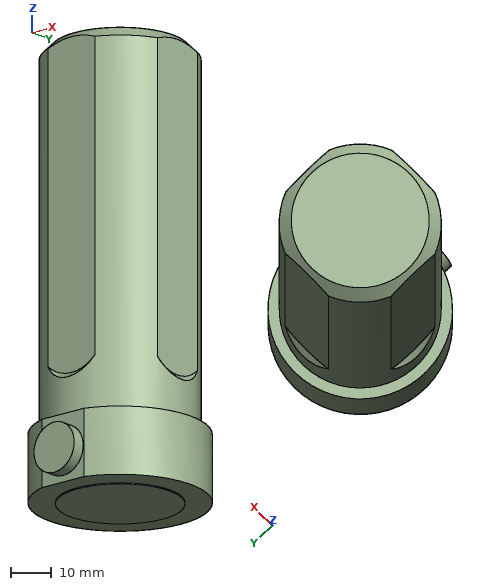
import cadquery as cq

total_height = 118.0
body_diameter = 39.98
top_chamfer = 3.0
body_radius = body_diameter / 2

flat_offset = 18.5
flat_bottom = 29.5
flat_end_radius = 11.0
flat_count = 4
cutter_depth = 4.0

collar_diameter = 45.5
collar_top = 18.0
foot_diameter = 32.0
foot_height = 0.3
collar_radius = collar_diameter / 2

button_diameter = 13.0
button_face_offset = 25.12
button_height = 8.5
button_flat_offset = 21.7


def make_body():
    body = cq.Workplane("XY").workplane(offset=foot_height).circle(body_radius)
    body = body.extrude(total_height - foot_height)
    return body.faces(">Z").chamfer(top_chamfer)


def make_flat_cutter():
    """Cutter for the flat on the +X side: 45 degree cone at the end, box above it."""
    cone_height = flat_bottom + flat_end_radius
    cone = cq.Workplane(
        cq.Solid.makeCone(
            flat_end_radius,
            flat_end_radius + cutter_depth,
            cutter_depth,
            pnt=cq.Vector(flat_offset, 0, cone_height),
            dir=cq.Vector(1, 0, 0),
        )
    )
    box = cq.Workplane("XY").box(
        cutter_depth,
        2 * flat_end_radius,
        total_height - cone_height,
        centered=(False, True, False),
    )
    return cone.union(box.translate((flat_offset, 0, cone_height)))


def cut_flats(body):
    cutter = make_flat_cutter()
    for index in range(flat_count):
        angle = index * 360 / flat_count
        body = body.cut(cutter.rotate((0, 0, 0), (0, 0, 1), angle))
    return body


def make_collar():
    collar = cq.Workplane("XY").workplane(offset=foot_height).circle(collar_radius)
    collar = collar.extrude(collar_top - foot_height)
    flat_cut = cq.Workplane("XY").box(
        collar_diameter,
        collar_radius,
        collar_top,
        centered=(True, False, False),
    )
    return collar.cut(flat_cut.translate((0, -button_flat_offset - collar_radius, 0)))


def make_foot():
    return cq.Workplane("XY").circle(foot_diameter / 2).extrude(collar_top)


def make_button():
    button = cq.Workplane("XZ").center(0, button_height).circle(button_diameter / 2)
    return button.extrude(button_face_offset)


result = cut_flats(make_body()).union(make_collar()).union(make_foot()).union(make_button())